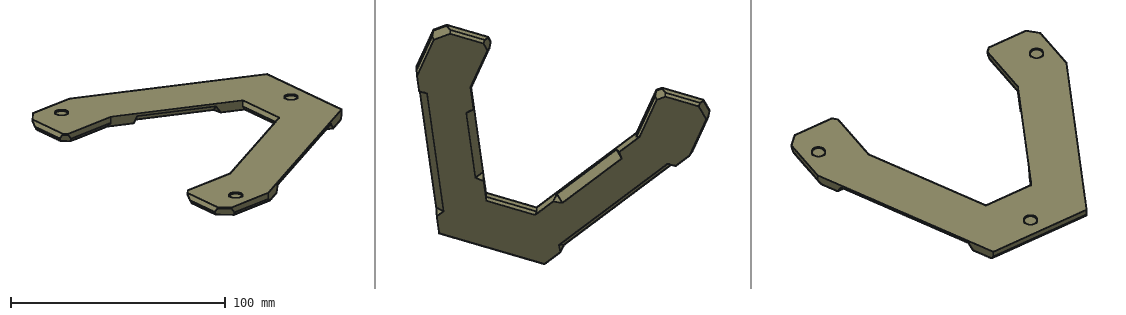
import cadquery as cq
import math

width = 137.0
length = 113.5
thickness = 5.0
half_width = width / 2

band = 27.4
leg_slope = 2.0
outer_knee_y = 27.8
inner_knee_y = 28.9
outer_corner = 4.8
inner_corner = 2.0
foot_inner_x = half_width - band
bridge_inner_y = length - band

draft = 0.5
side_draft_height = 1.8
corner_draft_height = 4.1

relief_height = 3.5
front_setback = 1.8
rear_setback = 2.5
outer_relief = (37.5, 103.5)
inner_relief = (38.8, 76.6)

hole_diameter = 6.3
hole_depth = 0.8
foot_hole_x = 60.0
foot_hole_y = 15.1
bridge_hole_y = 105.1


def flat_face(points):
    return cq.Face.makeFromWires(cq.Wire.makePolygon(points, close=True))


def prismatoid(lower, upper):
    """Flat-faced solid joining two outlines with matching corners."""
    faces = [flat_face(lower), flat_face(upper)]
    for i in range(len(lower)):
        faces.append(flat_face([lower[i - 1], lower[i], upper[i], upper[i - 1]]))
    return cq.Workplane(obj=cq.Solid.makeSolid(cq.Shell.makeShell(faces)).fix())


def outer_wall_x(y):
    return half_width - (y - outer_knee_y) / leg_slope


def inner_wall_x(y):
    return foot_inner_x - (y - inner_knee_y) / leg_slope


def section(z):
    """Corner points of the horizontal outline of the plate at height z."""
    inset = max(0.0, side_draft_height - z) * draft
    corner_inset = max(0.0, corner_draft_height - z) * draft
    corner_shift = corner_inset * math.sqrt(2) - 2 * inset
    outer_cut = outer_corner + corner_shift
    inner_cut = inner_corner + corner_shift
    outer_x = half_width - inset
    inner_x = foot_inner_x + inset
    front_y = inset
    rear_y = length - inset
    bridge_y = bridge_inner_y + inset
    right_half = [
        (inner_wall_x(bridge_y), bridge_y),
        (inner_x, inner_knee_y - leg_slope * inset),
        (inner_x, front_y + inner_cut),
        (inner_x + inner_cut, front_y),
        (outer_x - outer_cut, front_y),
        (outer_x, front_y + outer_cut),
        (outer_x, outer_knee_y + leg_slope * inset),
        (outer_wall_x(rear_y), rear_y),
    ]
    left_half = [(-x, y) for x, y in reversed(right_half)]
    return [cq.Vector(x, y, z) for x, y in right_half + left_half]


def layer(bottom, top):
    return prismatoid(section(bottom), section(top))


def edge_relief(wall_x, y_range, inward):
    """Triangular wedge along a right-leg wall; inward is +1 or -1 in X."""
    run = math.hypot(1, leg_slope)
    along = cq.Vector(-1, leg_slope, 0) / run
    across = cq.Vector(leg_slope, 1, 0) / run * inward
    up = cq.Vector(0, 0, 1)

    def end_triangle(y, setback):
        edge = cq.Vector(wall_x(y), y, 0)
        pulled_in = edge + along * setback
        root = pulled_in + across * relief_height
        apex = pulled_in + up * relief_height
        return [edge, root, apex]

    start_y, end_y = y_range
    return prismatoid(end_triangle(start_y, front_setback), end_triangle(end_y, -rear_setback))


result = (
    layer(0, side_draft_height)
    .union(layer(side_draft_height, corner_draft_height))
    .union(layer(corner_draft_height, thickness))
    .clean()
)

for relief in (
    edge_relief(outer_wall_x, outer_relief, -1),
    edge_relief(inner_wall_x, inner_relief, 1),
):
    result = result.cut(relief).cut(relief.mirror("YZ"))

holes = (
    cq.Workplane("XY", origin=(0, 0, thickness - hole_depth))
    .pushPoints([(-foot_hole_x, foot_hole_y), (foot_hole_x, foot_hole_y), (0, bridge_hole_y)])
    .circle(hole_diameter / 2)
    .extrude(hole_depth)
)
result = result.cut(holes)